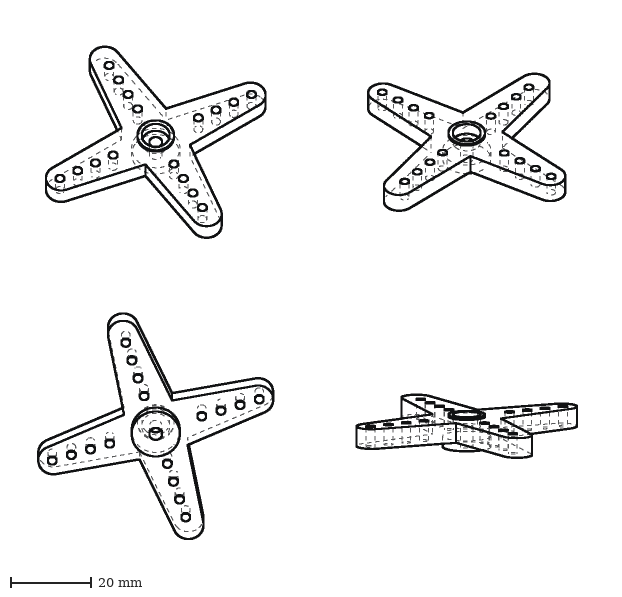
import cadquery as cq
import math


span = 61.0
arm_thickness = 5.0
tip_radius = 3.8
inner_corner = 6.3
arm_count = 4

arm_hole_diameter = 2.2
arm_hole_pitch = 5.0
holes_per_arm = 4
first_hole_on_x = 9.5
first_hole_on_y = 12.0

hub_diameter = 12.0
hub_height = 2.7
collar_diameter = 9.15
collar_height = 0.5
recess_diameter = 6.95
recess_depth = 3.0
screw_hole_diameter = 3.2

total_height = hub_height + arm_thickness + collar_height
collar_top = arm_thickness + collar_height


def make_arm():
    """Arm along +X from the hub axis, its tapered sides tangent to the round tip."""
    tip_center = span / 2 - tip_radius
    corner_offset = tip_center - inner_corner
    corner_distance = math.hypot(corner_offset, inner_corner)
    corner_angle = math.atan2(inner_corner, -corner_offset)
    tangent_angle = corner_angle - math.acos(tip_radius / corner_distance)
    tangent_x = tip_center + tip_radius * math.cos(tangent_angle)
    tangent_y = tip_radius * math.sin(tangent_angle)
    return (
        cq.Workplane("XY")
        .moveTo(0, 0)
        .lineTo(inner_corner, -inner_corner)
        .lineTo(tangent_x, -tangent_y)
        .threePointArc((span / 2, 0), (tangent_x, tangent_y))
        .lineTo(inner_corner, inner_corner)
        .close()
        .extrude(arm_thickness)
    )


def arm_hole_centers():
    """Rows of holes along both axes, mirrored about the hub."""
    centers = []
    for index in range(holes_per_arm):
        x = first_hole_on_x + index * arm_hole_pitch
        y = first_hole_on_y + index * arm_hole_pitch
        centers += [(x, 0), (-x, 0), (0, y), (0, -y)]
    return centers


def make_cylinder(diameter, bottom, height):
    """Upright cylinder on the hub axis."""
    return cq.Workplane("XY").workplane(offset=bottom).circle(diameter / 2).extrude(height)


body = make_cylinder(hub_diameter, -hub_height, hub_height + arm_thickness)
for arm_index in range(arm_count):
    arm_angle = arm_index * 360 / arm_count
    body = body.union(make_arm().rotate((0, 0, 0), (0, 0, 1), arm_angle))
body = body.union(make_cylinder(collar_diameter, 0, collar_top))

arm_holes = (
    cq.Workplane("XY")
    .pushPoints(arm_hole_centers())
    .circle(arm_hole_diameter / 2)
    .extrude(arm_thickness)
)
body = body.cut(arm_holes)

body = body.cut(make_cylinder(screw_hole_diameter, -hub_height, total_height))
body = body.cut(make_cylinder(recess_diameter, collar_top - recess_depth, recess_depth))

result = body.clean()